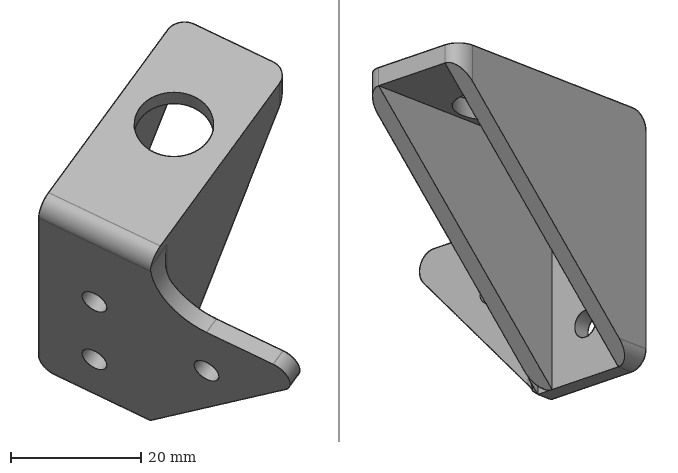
import cadquery as cq
import math

length = 44.9
height = 42.0
depth = height
body_width = 20.0
wall = 3.0
corner_radius = 3.0
root_radius = 2.0

notch_radius = 10.0
ear_top = 30.0
ear_radius = corner_radius

large_hole_diameter = 12.2
small_hole_diameter = 4.4
column_x = body_width / 2
large_hole_y = 24.0
small_hole_centers = [
    (column_x, 24.0),
    (column_x, 9.0),
    (30.0, 20.0),
]


def prism_along_y(outline, thickness):
    """Extrude an XZ outline from the front face towards +Y."""
    return outline.extrude(-thickness)


def side_profile_prism(width):
    """Side triangle with its two tips cut off one wall thickness wide."""
    return (
        cq.Workplane("YZ")
        .polyline([(0, 0), (wall, 0), (depth, height - wall), (depth, height), (0, height)])
        .close()
        .extrude(width)
    )


def make_channel():
    """Body hollowed behind the front plate and below the top plate."""
    body = side_profile_prism(body_width)
    body = body.intersect(
        cq.Workplane("XY")
        .box(body_width, depth, height, centered=False)
        .edges("|Z and >Y").fillet(corner_radius)
        .edges("|X and >Z and <Y").fillet(corner_radius)
        .edges("|Y and <X and <Z").fillet(corner_radius)
    )
    cavity = (
        cq.Workplane("XY")
        .box(body_width - 2 * wall, depth, height - wall, centered=False)
        .translate((wall, wall, 0))
    )
    return body.cut(cavity)


def ear_outline():
    """XZ outline of the ear, whose slope runs tangent into its round tip."""
    tip_x = length - ear_radius
    tip_z = ear_top - ear_radius
    run = tip_x - body_width
    slope = math.atan2(tip_z, run) - math.asin(ear_radius / math.hypot(run, tip_z))
    tangent_point = (tip_x + ear_radius * math.sin(slope), tip_z - ear_radius * math.cos(slope))
    notch_x = body_width + notch_radius
    notch_z = ear_top + notch_radius
    diagonal = notch_radius * math.sqrt(0.5)
    inside_x = body_width - wall
    return (
        cq.Workplane("XZ")
        .moveTo(inside_x, 0)
        .lineTo(body_width, 0)
        .lineTo(*tangent_point)
        .threePointArc((length, tip_z), (tip_x, ear_top))
        .lineTo(notch_x, ear_top)
        .threePointArc((notch_x - diagonal, notch_z - diagonal), (body_width, notch_z))
        .lineTo(inside_x, notch_z)
        .close()
    )


def make_ear():
    """Ear with the front bend carried across its overlap with the body."""
    ear = prism_along_y(ear_outline(), wall)
    bend_limit = (
        cq.Workplane("XY")
        .box(length, depth, height, centered=False)
        .edges("|X and >Z and <Y").fillet(corner_radius)
    )
    return ear.intersect(bend_limit)


def make_root_fillet():
    """Concave fillet between the ear and the right side wall."""
    center_offset = root_radius * (1 - math.sqrt(0.5))
    fillet = (
        cq.Workplane("XY")
        .moveTo(body_width, wall)
        .lineTo(body_width + root_radius, wall)
        .threePointArc(
            (body_width + center_offset, wall + center_offset),
            (body_width, wall + root_radius),
        )
        .close()
        .extrude(height)
    )
    fillet = fillet.intersect(prism_along_y(ear_outline(), wall + root_radius))
    return fillet.intersect(side_profile_prism(length))


def make_small_holes():
    holes = cq.Workplane("XZ").pushPoints(small_hole_centers).circle(small_hole_diameter / 2)
    return prism_along_y(holes, wall)


def make_large_hole():
    return (
        cq.Workplane("XY")
        .workplane(offset=height - wall)
        .center(column_x, large_hole_y)
        .circle(large_hole_diameter / 2)
        .extrude(wall)
    )


bracket = make_channel().union(make_ear()).union(make_root_fillet())
result = bracket.cut(make_small_holes()).cut(make_large_hole())